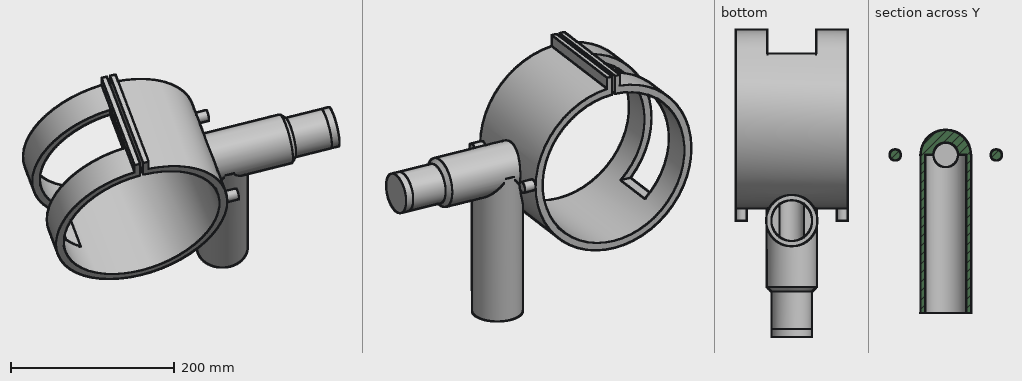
import cadquery as cq
import math

ring_width = 138.0
ring_outer_radius = 110.0
ring_inner_radius = 100.0

split_gap = 4.0
flange_thickness = 7.0
flange_height = 15.0
flange_outer_y = split_gap / 2 + flange_thickness
flange_base_z = math.sqrt(ring_outer_radius**2 - flange_outer_y**2)
flange_top_z = flange_base_z + flange_height

window_width = 60.0
window_back_y = -10.0
window_bottom_z = -75.0

chimney_radius = 31.0
neck_radius = 25.0
taper_length = 6.0
taper_start_y = 206.0
chimney_bore_radius = 15.0
chimney_end_y = 267.75
cap_thickness = 10.0
cap_face_y = chimney_end_y - cap_thickness

outlet_radius = 31.5
outlet_bore_radius = 25.0
outlet_center_y = 124.75
outlet_length = 194.0

pin_radius = 7.0
pin_end_y = 125.0
pin_center_x = ring_width / 2 - pin_radius


def cylinder_along_x(radius):
    """Cylinder over the ring width, with its seam at the top where the split is."""
    mid_plane = cq.Plane(origin=(0, 0, 0), xDir=(0, 0, 1), normal=(1, 0, 0))
    return cq.Workplane(mid_plane).circle(radius).extrude(ring_width / 2, both=True)


def cylinder_along_y(radius, end_y, center_x=0.0):
    """Cylinder from the ring axis to end_y."""
    return cq.Workplane("XZ").center(center_x, 0).circle(radius).extrude(-end_y)


def outlet_cylinder(radius):
    return cq.Workplane("XY").center(0, outlet_center_y).circle(radius).extrude(-outlet_length)


def flange_block():
    """Block that becomes both flanges once the split is cut."""
    block_height = flange_top_z - ring_inner_radius
    return (
        cq.Workplane("XY")
        .workplane(offset=ring_inner_radius)
        .rect(ring_width, 2 * flange_outer_y)
        .extrude(block_height)
    )


def chimney():
    """Outer shape of the chimney: large barrel, taper and neck."""
    return (
        cq.Workplane("XY")
        .moveTo(0, 0)
        .lineTo(chimney_radius, 0)
        .lineTo(chimney_radius, taper_start_y)
        .lineTo(neck_radius, taper_start_y + taper_length)
        .lineTo(neck_radius, cap_face_y)
        .lineTo(0, cap_face_y)
        .close()
        .revolve(360, (0, 0, 0), (0, 1, 0))
    )


def split_cut():
    return (
        cq.Workplane("XY")
        .rect(ring_width, split_gap)
        .extrude(flange_top_z)
    )


def window_cut():
    depth = ring_outer_radius + window_back_y
    height = ring_outer_radius - window_bottom_z
    return (
        cq.Workplane("XY")
        .workplane(offset=window_bottom_z)
        .center(0, window_back_y - depth / 2)
        .rect(window_width, depth)
        .extrude(height)
    )


def clamp_saddle():
    """Ring, flanges, pins, chimney and outlet as a single body."""
    body = cylinder_along_x(ring_outer_radius)
    body = body.union(flange_block())
    body = body.union(chimney())
    body = body.union(outlet_cylinder(outlet_radius))
    for side in (-1, 1):
        body = body.union(cylinder_along_y(pin_radius, pin_end_y, side * pin_center_x))
    body = body.cut(cylinder_along_x(ring_inner_radius))
    body = body.cut(split_cut())
    body = body.cut(window_cut())
    body = body.cut(cylinder_along_y(chimney_bore_radius, cap_face_y))
    return body.cut(outlet_cylinder(outlet_bore_radius))


def end_cap():
    """Disc that closes the end of the chimney."""
    return cq.Workplane("XZ", origin=(0, cap_face_y, 0)).circle(neck_radius).extrude(-cap_thickness)


saddle = clamp_saddle()
cap = end_cap()
result = cq.Compound.makeCompound([saddle.val(), cap.val()])